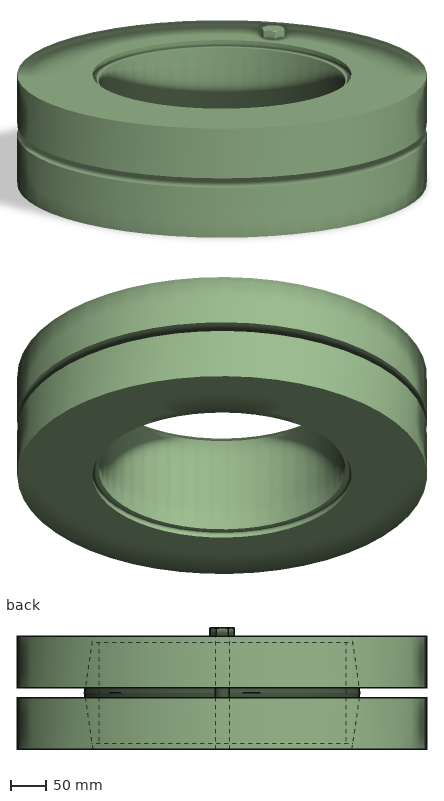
import cadquery as cq
import math

flange_diameter = 580.0
flange_thickness = 73.0
flange_gap = 14.0
half_gap = flange_gap / 2
half_stack = half_gap + flange_thickness

sleeve_bore = 350.0
sleeve_setback = 8.5
half_sleeve = half_stack - sleeve_setback

widest_diameter = 390.0
flange_mouth_diameter = 366.5
diameter_taper = (widest_diameter - flange_mouth_diameter) / half_stack

bolt_offset_y = 216.0
shank_diameter = 20.0
head_across_flats = 30.0
head_height = 12.0
head_top_diameter = head_across_flats
head_chamfer_angle = 30.0
head_across_corners = head_across_flats / math.cos(math.radians(30))


def make_double_cone(half_height):
    """Solid tapering equally up and down from its widest circle at Z = 0."""
    end_r = (widest_diameter - half_height * diameter_taper) / 2
    return (
        cq.Workplane("XZ")
        .moveTo(0, -half_height)
        .lineTo(end_r, -half_height)
        .lineTo(widest_diameter / 2, 0)
        .lineTo(end_r, half_height)
        .lineTo(0, half_height)
        .close()
        .revolve(360, (0, 0, 0), (0, 1, 0))
    )


def make_flange(bottom_z):
    """Ring with a tapered bore seating the sleeve and a hole for the bolt shank."""
    disc = (
        cq.Workplane("XY", origin=(0, 0, bottom_z))
        .circle(flange_diameter / 2)
        .pushPoints([(0, bolt_offset_y)])
        .circle(shank_diameter / 2)
        .extrude(flange_thickness)
    )
    return disc.cut(make_double_cone(half_stack))


def make_sleeve():
    """Double cone with a straight bore."""
    bore = (
        cq.Workplane("XY", origin=(0, 0, -half_sleeve))
        .circle(sleeve_bore / 2)
        .extrude(2 * half_sleeve)
    )
    return make_double_cone(half_sleeve).cut(bore)


def make_head_envelope():
    """Cylinder with a conical top that trims the corners of the bolt head."""
    corner_r = head_across_corners / 2
    top_r = head_top_diameter / 2
    chamfer_drop = (corner_r - top_r) * math.tan(math.radians(head_chamfer_angle))
    return (
        cq.Workplane("XZ", origin=(0, bolt_offset_y, half_stack))
        .lineTo(corner_r, 0)
        .lineTo(corner_r, head_height - chamfer_drop)
        .lineTo(top_r, head_height)
        .lineTo(0, head_height)
        .close()
        .revolve(360, (0, 0, 0), (0, 1, 0))
    )


def make_bolt():
    """Hexagonal bolt whose shank ends flush with the lower flange."""
    head = (
        cq.Workplane("XY", origin=(0, bolt_offset_y, half_stack))
        .polygon(6, head_across_corners)
        .extrude(head_height)
        .intersect(make_head_envelope())
    )
    shank = (
        cq.Workplane("XY", origin=(0, bolt_offset_y, -half_stack))
        .circle(shank_diameter / 2)
        .extrude(2 * half_stack)
    )
    return head.union(shank)


flanges = [make_flange(bottom_z) for bottom_z in (-half_stack, half_gap)]
sleeve = make_sleeve()
bolt = make_bolt()

result = cq.Compound.makeCompound(
    [*(flange.val() for flange in flanges), sleeve.val(), bolt.val()]
)